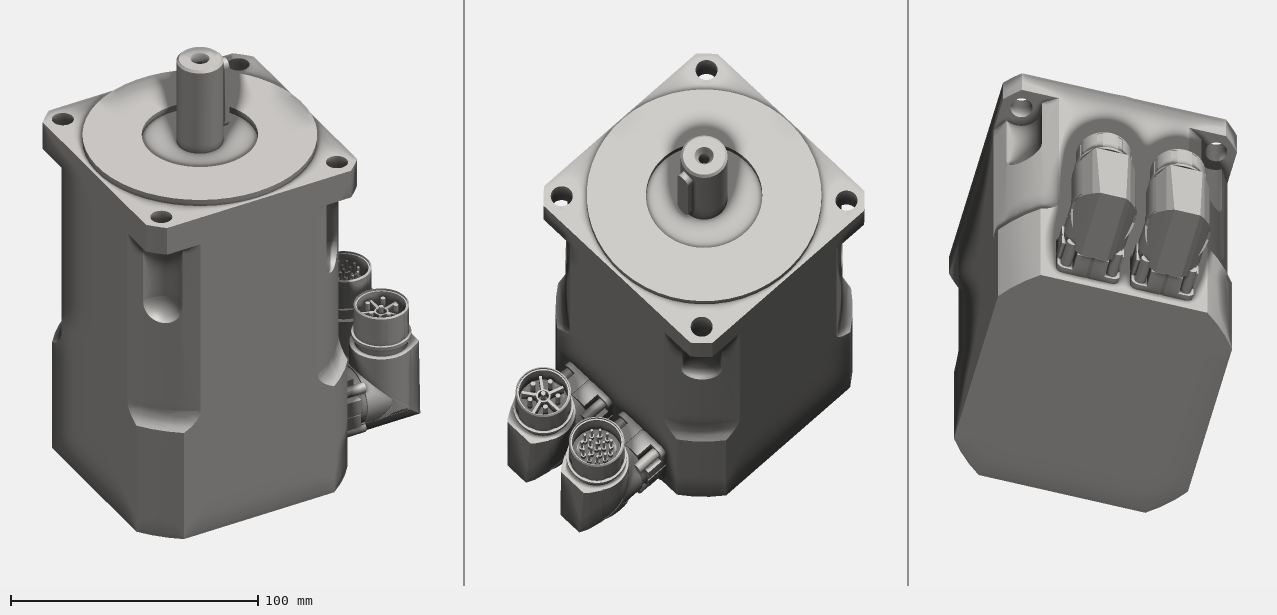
import cadquery as cq
import math

SIDE = 98.0
FACE = SIDE / 2
TOTAL_DEPTH = 139.5
TOTAL_HEIGHT = 194.0
FLANGE_BOTTOM = 141.0
FLANGE_TOP = 154.0
PILOT_HEIGHT = 3.0
PILOT_TOP = FLANGE_TOP + PILOT_HEIGHT
PILOT_DIAMETER = 95.0
RECESS_DIAMETER = 47.1
FLANGE_CORNER_RADIUS = 65.0
LOWER_CORNER_RADIUS = 60.1
UPPER_CORNER_RADIUS = 56.0
STEP_FILLET = 10.0
STEP_TOP = 59.8

BOLT_OFFSET = 40.7
BOLT_HOLE_DIAMETER = 9.0
BOLT_CHANNEL_DIAMETER = 17.0
BOLT_CHANNEL_END = 109.8

SHAFT_DIAMETER = 19.0
SHAFT_CHAMFER = 1.0
CENTRE_HOLE_DIAMETER = 4.5
CENTRE_HOLE_DEPTH = 11.6
COUNTERSINK_DIAMETER = 7.8
COUNTERSINK_ANGLE = 60.0

KEY_WIDTH = 6.0
KEY_LENGTH = 32.0
KEY_BOTTOM = 158.3
KEY_SEAT = 6.0
KEY_CREST = 12.0

CONNECTOR_SPACING = 31.0
PLUG_Y = 75.5
NECK_Z = 18.6
BACK_Y = TOTAL_DEPTH - FACE
FOOT_Z = 3.9

BASE_SIZE = 26.0
BASE_PLATE_Y = 51.5
BASE_Y = 58.8
BASE_CORNER_RADIUS = 3.1
CORNER_POCKET = 6.4
FACE_GROOVE_WIDTH = 1.4
FACE_GROOVE_DEPTH = 0.4
SCREW_DIAMETER = 4.5
SCREW_OFFSET = 9.5
NECK_DIAMETER = 24.5

ELBOW_DIAMETER = 26.0
ELBOW_FRONT_Y = 62.0
ELBOW_TOP = 40.5
SKIN_FRONT_Y = 60.0
SKIN_CREST = NECK_Z - FOOT_Z
SKIN_INNER = 7.0
SKIN_EDGES = ((11.0, SKIN_INNER), (8.0, 12.0), (5.5, SKIN_CREST))
BACK_TAPER = 1.4
CHEEK_DIAMETER = 26.8
CHEEK_OUTLINE = (
    (73.1, 21.7),
    (82.5, 13.2),
    (77.6, 14.5),
    (74.0, 14.5),
    (67.1, 10.9),
    (73.1, 17.3),
)

COLLAR_DIAMETER = 21.7
RING_DIAMETER = 24.5
RING_BOTTOM = 44.2
RING_TOP = 45.8
BARREL_DIAMETER = 22.5
BARREL_TOP = 59.4
RIM_CHAMFER = 0.5
GROOVE_PITCH = 45.0
GROOVE_COUNT = 6
BARREL_GROOVE_WIDTH = 2.5
BARREL_GROOVE_DEPTH = 0.3
GROOVE_END_MARGIN = 1.4

MOUTH_DIAMETER = 21.1
MOUTH_DEPTH = 1.0
SOCKET_DIAMETER = 20.0
SOCKET_DEPTH = 9.7
SOCKET_FLOOR = BARREL_TOP - SOCKET_DEPTH
PIN_SETBACK = 1.5
PIN_TIP = BARREL_TOP - PIN_SETBACK
INSERT_HEIGHT = 1.0

SIGNAL_INSERT_DIAMETER = 16.3
SIGNAL_PIN_DIAMETER = 1.0
SIGNAL_COLLAR_DIAMETER = 2.0
SIGNAL_COLLAR_HEIGHT = 3.0
SIGNAL_COLLAR_TOP = SOCKET_FLOOR + SIGNAL_COLLAR_HEIGHT
SIGNAL_RINGS = ((11, 6.0, -90.0), (5, 3.0, 90.0))

POWER_INSERT_DIAMETER = 17.8
POWER_PIN_DIAMETER = 2.0
POWER_PINS = 5
POWER_PIN_RADIUS = 6.0
POWER_TUBE_DIAMETER = 5.8
POWER_TUBE_BORE = 4.5
POWER_WALL = 1.2
POWER_WALL_HEIGHT = 5.8


def cylinder(diameter, bottom, top, x=0.0, y=0.0):
    """Vertical cylinder between two heights."""
    return (
        cq.Workplane("XY", origin=(x, y, bottom)).circle(diameter / 2).extrude(top - bottom)
    )


def cylinder_along_y(diameter, start, end, x, z):
    """Cylinder parallel to Y between two Y positions."""
    plane = cq.Plane(origin=(x, start, z), xDir=(1, 0, 0), normal=(0, 1, 0))
    return cq.Workplane(plane).circle(diameter / 2).extrude(end - start)


def block(x_size, y_range, z_range):
    """Box centred on X = 0 between the given Y and Z limits."""
    y_size = y_range[1] - y_range[0]
    z_size = z_range[1] - z_range[0]
    return cq.Workplane("XY").box(x_size, y_size, z_size, centered=(True, False, False)).translate(
        (0, y_range[0], z_range[0])
    )


def housing_envelope():
    """Turned outline that rounds the corners of the square bar."""
    rise = LOWER_CORNER_RADIUS - UPPER_CORNER_RADIUS
    drop = math.sqrt(STEP_FILLET**2 - (STEP_FILLET - rise) ** 2)
    half_drop = drop / 2
    half_rise = STEP_FILLET - math.sqrt(STEP_FILLET**2 - half_drop**2)
    return (
        cq.Workplane("XZ")
        .lineTo(LOWER_CORNER_RADIUS, 0)
        .lineTo(LOWER_CORNER_RADIUS, STEP_TOP - drop)
        .threePointArc(
            (UPPER_CORNER_RADIUS + half_rise, STEP_TOP - half_drop),
            (UPPER_CORNER_RADIUS, STEP_TOP),
        )
        .lineTo(UPPER_CORNER_RADIUS, FLANGE_BOTTOM)
        .lineTo(FLANGE_CORNER_RADIUS, FLANGE_BOTTOM)
        .lineTo(FLANGE_CORNER_RADIUS, FLANGE_TOP)
        .lineTo(0, FLANGE_TOP)
        .close()
        .revolve(360, (0, 0, 0), (0, 1, 0))
    )


def bolt_cut(x, y):
    """Bolt hole through the flange and the ball-ended channel below it."""
    hole = cylinder(BOLT_HOLE_DIAMETER, FLANGE_BOTTOM, FLANGE_TOP, x, y)
    channel = cylinder(BOLT_CHANNEL_DIAMETER, BOLT_CHANNEL_END, FLANGE_BOTTOM, x, y)
    ball = cq.Workplane("XY", origin=(x, y, BOLT_CHANNEL_END)).sphere(BOLT_CHANNEL_DIAMETER / 2)
    return channel.union(ball).union(hole)


def make_key():
    """Round-ended parallel key, lying along the shaft."""
    plane = cq.Plane(
        origin=(0, KEY_SEAT, KEY_BOTTOM + KEY_LENGTH / 2), xDir=(0, 0, 1), normal=(0, 1, 0)
    )
    return cq.Workplane(plane).slot2D(KEY_LENGTH, KEY_WIDTH).extrude(KEY_CREST - KEY_SEAT)


def make_shaft():
    """Shaft end from the recess floor, with a countersunk centre hole."""
    return (
        cylinder(SHAFT_DIAMETER, FLANGE_TOP, TOTAL_HEIGHT)
        .faces(">Z")
        .chamfer(SHAFT_CHAMFER)
        .faces(">Z")
        .workplane()
        .cskHole(CENTRE_HOLE_DIAMETER, COUNTERSINK_DIAMETER, COUNTERSINK_ANGLE, CENTRE_HOLE_DEPTH)
    )


def make_motor():
    """Housing, flange and shaft in one piece, with the keyway for the key."""
    motor = housing_envelope().intersect(block(SIDE, (-FACE, FACE), (0, FLANGE_TOP)))
    for x in (-BOLT_OFFSET, BOLT_OFFSET):
        for y in (-BOLT_OFFSET, BOLT_OFFSET):
            motor = motor.cut(bolt_cut(x, y))
    pilot = cylinder(PILOT_DIAMETER, FLANGE_TOP, PILOT_TOP)
    recess = cylinder(RECESS_DIAMETER, FLANGE_TOP, PILOT_TOP)
    return motor.union(pilot.cut(recess)).union(make_shaft()).cut(make_key())


def connector_base():
    """Square base with pocketed corners, corner screws and the round neck."""
    half = BASE_SIZE / 2
    low, high = NECK_Z - half, NECK_Z + half
    base = block(BASE_SIZE, (FACE, BASE_Y), (low, high))
    base = base.edges("|Y").fillet(BASE_CORNER_RADIUS)

    pocket_centre = half - CORNER_POCKET / 2
    pocket = block(CORNER_POCKET, (BASE_PLATE_Y, BASE_Y), (-CORNER_POCKET / 2, CORNER_POCKET / 2))
    screws = []
    for side in (-1, 1):
        for level in (-1, 1):
            base = base.cut(
                pocket.translate((side * pocket_centre, 0, NECK_Z + level * pocket_centre))
            )
            screws.append(
                cylinder_along_y(
                    SCREW_DIAMETER,
                    BASE_PLATE_Y,
                    ELBOW_FRONT_Y,
                    side * SCREW_OFFSET,
                    NECK_Z + level * SCREW_OFFSET,
                )
            )

    groove = block(FACE_GROOVE_WIDTH, (FACE, BASE_Y), (half - FACE_GROOVE_DEPTH, half))
    for quarter in range(4):
        turned = groove.rotate((0, 0, 0), (0, 1, 0), 90 * quarter)
        base = base.cut(turned.translate((0, 0, NECK_Z)))

    base = base.union(cylinder_along_y(NECK_DIAMETER, BASE_Y, ELBOW_FRONT_Y, 0, NECK_Z))
    for screw in screws:
        base = base.union(screw)
    return base


def elbow_skin():
    """Faceted skin swept under the elbow and up its back with a mitred corner."""
    inner_z = NECK_Z - SKIN_INNER
    right_edges = [(half_width, NECK_Z - drop) for half_width, drop in SKIN_EDGES]
    left_edges = [(-x, z) for x, z in reversed(right_edges)]
    profile = (
        cq.Workplane("XZ", origin=(0, SKIN_FRONT_Y, 0))
        .polyline(right_edges + left_edges)
        .close()
    )
    corner_y = BACK_Y - (inner_z - FOOT_Z)
    path = cq.Workplane("YZ").polyline(
        [(SKIN_FRONT_Y, inner_z), (corner_y, inner_z), (corner_y, ELBOW_TOP)]
    )
    skin = profile.sweep(path, transition="right")
    lean = (
        cq.Workplane("YZ")
        .polyline([(BACK_Y, FOOT_Z), (BACK_Y - BACK_TAPER, ELBOW_TOP), (BACK_Y, ELBOW_TOP)])
        .close()
        .extrude(ELBOW_DIAMETER / 2, both=True)
    )
    return skin.cut(lean)


def elbow_cheeks():
    """Slightly raised, wedge-shaped cheeks on both sides where the two tubes meet."""
    wedge = (
        cq.Workplane("YZ")
        .polyline(CHEEK_OUTLINE)
        .close()
        .extrude(CHEEK_DIAMETER / 2, both=True)
    )
    return wedge.intersect(cylinder(CHEEK_DIAMETER, FOOT_Z, ELBOW_TOP, 0, PLUG_Y))


def connector_elbow():
    """Right-angle body joining the neck to the upright plug."""
    radius = ELBOW_DIAMETER / 2
    upright = cylinder(ELBOW_DIAMETER, NECK_Z - radius, ELBOW_TOP, 0, PLUG_Y)
    level = cylinder_along_y(ELBOW_DIAMETER, ELBOW_FRONT_Y, PLUG_Y + radius, 0, NECK_Z)
    corner = upright.intersect(level)
    tube = cylinder(ELBOW_DIAMETER, NECK_Z, ELBOW_TOP, 0, PLUG_Y)
    neck = cylinder_along_y(ELBOW_DIAMETER, ELBOW_FRONT_Y, PLUG_Y, 0, NECK_Z)
    return tube.union(neck).union(corner).union(elbow_skin()).union(elbow_cheeks())


def plug_shell():
    """Collar, stop ring and grooved barrel with an open socket."""
    collar = cylinder(COLLAR_DIAMETER, ELBOW_TOP, RING_BOTTOM)
    ring = cylinder(RING_DIAMETER, RING_BOTTOM, RING_TOP)
    barrel = cylinder(BARREL_DIAMETER, RING_TOP, BARREL_TOP).faces(">Z").chamfer(RIM_CHAMFER)
    outer = BARREL_DIAMETER / 2
    groove = block(
        BARREL_GROOVE_WIDTH,
        (outer - BARREL_GROOVE_DEPTH, outer),
        (RING_TOP, BARREL_TOP - GROOVE_END_MARGIN),
    )
    for index in range(GROOVE_COUNT):
        angle = (index - (GROOVE_COUNT - 1) / 2) * GROOVE_PITCH
        barrel = barrel.cut(groove.rotate((0, 0, 0), (0, 0, 1), angle))
    socket = cylinder(SOCKET_DIAMETER, SOCKET_FLOOR, BARREL_TOP)
    mouth = cylinder(MOUTH_DIAMETER, BARREL_TOP - MOUTH_DEPTH, BARREL_TOP)
    return collar.union(ring).union(barrel).cut(socket).cut(mouth)


def contact_pins(diameter, top, count, radius, start_angle):
    """Ring of round contacts standing on the socket floor."""
    return (
        cq.Workplane("XY", origin=(0, 0, SOCKET_FLOOR))
        .polarArray(radius, start_angle, 360, count)
        .circle(diameter / 2)
        .extrude(top - SOCKET_FLOOR)
    )


def signal_insert():
    """Insulating disc with one centre pin and two rings of fine pins."""
    insert = cylinder(SIGNAL_INSERT_DIAMETER, SOCKET_FLOOR, SOCKET_FLOOR + INSERT_HEIGHT)
    steps = ((SIGNAL_COLLAR_DIAMETER, SIGNAL_COLLAR_TOP), (SIGNAL_PIN_DIAMETER, PIN_TIP))
    for diameter, top in steps:
        insert = insert.union(cylinder(diameter, SOCKET_FLOOR, top))
        for count, radius, start_angle in SIGNAL_RINGS:
            insert = insert.union(contact_pins(diameter, top, count, radius, start_angle))
    return insert


def power_insert():
    """Insulating disc with a tube, dividing walls and one pin in each cell."""
    insert = cylinder(POWER_INSERT_DIAMETER, SOCKET_FLOOR, SOCKET_FLOOR + INSERT_HEIGHT)
    wall_top = SOCKET_FLOOR + POWER_WALL_HEIGHT
    wall = cq.Workplane("XY", origin=(0, 0, SOCKET_FLOOR)).box(
        POWER_INSERT_DIAMETER / 2, POWER_WALL, POWER_WALL_HEIGHT, centered=(False, True, False)
    )
    pitch = 360 / POWER_PINS
    for index in range(POWER_PINS):
        insert = insert.union(wall.rotate((0, 0, 0), (0, 0, 1), (index + 0.5) * pitch))
    bore = cylinder(POWER_TUBE_BORE, SOCKET_FLOOR + INSERT_HEIGHT, wall_top)
    insert = insert.union(cylinder(POWER_TUBE_DIAMETER, SOCKET_FLOOR, wall_top)).cut(bore)
    insert = insert.union(cylinder(POWER_PIN_DIAMETER, SOCKET_FLOOR, PIN_TIP))
    return insert.union(contact_pins(POWER_PIN_DIAMETER, PIN_TIP, POWER_PINS, POWER_PIN_RADIUS, 0))


def make_connector(insert, x):
    """Complete right-angle connector with the given contact insert."""
    plug = plug_shell().union(insert).translate((0, PLUG_Y, 0))
    return connector_base().union(connector_elbow()).union(plug).translate((x, 0, 0))


motor = make_motor()
key = make_key()
inserts = (signal_insert(), power_insert())
positions = (-CONNECTOR_SPACING / 2, CONNECTOR_SPACING / 2)
connectors = [make_connector(insert, x) for insert, x in zip(inserts, positions)]

result = cq.Compound.makeCompound(
    [motor.val(), key.val(), *[connector.val() for connector in connectors]]
)